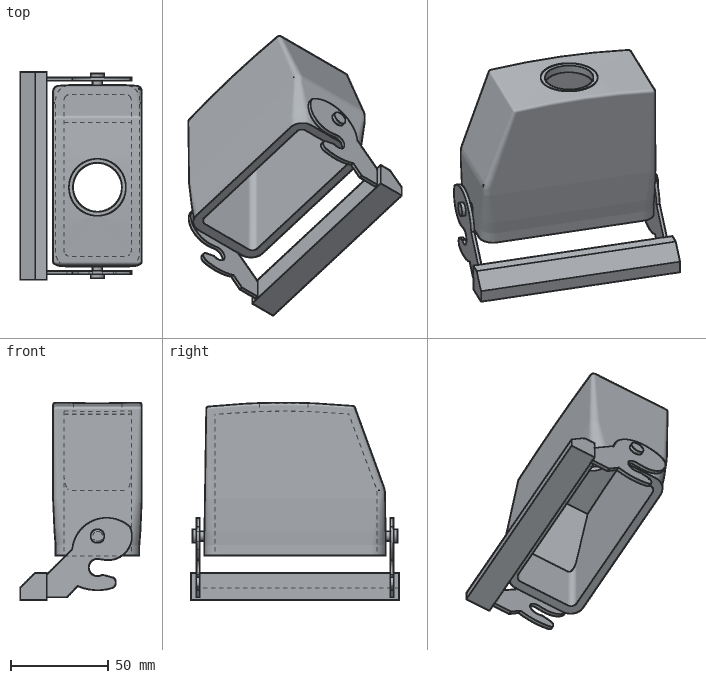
import math

import cadquery as cq


rim_z = 22.9
skirt_top_z = 28.5
knee_z = 35.2
shoulder_z = 52.0
bend_z = 56.6
crown_z = 101.6
blank_top_z = 103.8
skirt_half_x, knee_half_x, shoulder_half_x = 21.6, 22.1, 22.9
skirt_half_y = 46.8
skirt_corner, knee_corner, shoulder_corner, top_corner = 7.5, 6.2, 3.9, 1.6
back_corner = 3.2
end_draft = 0.85
back_slope = 20.0
bend_radius = 10.7
roof_radius = 374.5
roof_edge_fillet = 1.5

wall = 4.3
entry_y = -5.9
entry_radius = 12.5
spot_face_radius = 14.7
spot_face_z = 101.3

pin_z = 33.0
pin_shaft_radius = 2.6
pin_head_radius = 3.5
pin_end_y = 52.8

bar_length = 107.0
bar_left_x, bar_right_x = -39.8, -26.0
bar_height = 14.0
bar_front_height = 6.3
plate_thickness = 1.8
plate_outer_y = 50.7
plate_inner_y = plate_outer_y - plate_thickness
latch_radius = 4.4
latch_z = 16.8
eye_radius = 12.4
eye_x = 5.4
hump_radius = 17.7
hump_x, hump_z = 4.5, 24.7

arm_bottom_z, arm_top_z = 1.4, 13.2
arm_corner = (-15.7, arm_bottom_z)
hump_foot = (-13.0, 26.2)
eye_top = (16.8, 37.7)
eye_bottom = (4.5, 20.5)
finger_root = (-10.2, 7.2)
finger_belly = (0, 5.0)
finger_low = (7.7, 6.2)
finger_tip = (9.5, 8.8)
finger_high = (8.0, 11.7)
latch_low = (2.5, 13.2)

edge_search = 0.3


def end_y(z):
    """Half length of the hood in Y at height z, on the drafted end walls."""
    return skirt_half_y - (z - skirt_top_z) * math.tan(math.radians(end_draft))


def back_y(z):
    """Y of the back wall at height z, including the slope above the bend."""
    return end_y(bend_z) - (z - bend_z) * math.tan(math.radians(back_slope))


def flare_section(z, half_x, half_y, front_radius, back_radius):
    """Horizontal section of the flared lower hood: a rectangle rounded at its -Y and +Y corners."""
    return (
        cq.Sketch()
        .rect(2 * half_x, 2 * half_y)
        .vertices("<Y")
        .fillet(front_radius)
        .reset()
        .vertices(">Y")
        .fillet(back_radius)
        .moved(cq.Location(cq.Vector(0, 0, z)))
    )


def half_section(z, wall_y, corner):
    """Horizontal section of one half of the upper hood, from Y = 0 to its rounded end at wall_y."""
    return (
        cq.Sketch()
        .push([(0, wall_y / 2)])
        .rect(2 * shoulder_half_x, abs(wall_y))
        .reset()
        .vertices(">Y" if wall_y > 0 else "<Y")
        .fillet(corner)
        .moved(cq.Location(cq.Vector(0, 0, z)))
    )


def ruled_loft(*sections):
    """Loft with straight walls from each section to the next."""
    return cq.Workplane().placeSketch(*sections).loft(ruled=True)


def make_blank():
    """Solid hood with its flared side walls, drafted ends and sloping back, below a flat top."""
    lower = ruled_loft(
        flare_section(rim_z, skirt_half_x, skirt_half_y, skirt_corner, skirt_corner),
        flare_section(skirt_top_z, skirt_half_x, skirt_half_y, skirt_corner, skirt_corner),
        flare_section(knee_z, knee_half_x, end_y(knee_z), knee_corner, knee_corner),
        flare_section(shoulder_z, shoulder_half_x, end_y(shoulder_z), shoulder_corner, back_corner),
    )
    upper_front = ruled_loft(
        half_section(shoulder_z, -end_y(shoulder_z), shoulder_corner),
        half_section(blank_top_z, -end_y(blank_top_z), top_corner),
    )
    upper_back = ruled_loft(
        half_section(shoulder_z, end_y(shoulder_z), back_corner),
        half_section(bend_z, end_y(bend_z), back_corner),
        half_section(blank_top_z, back_y(blank_top_z), top_corner),
    )
    return lower.union(upper_front).union(upper_back).clean()


def roof_cylinder(radius):
    """Cylinder along X whose top is the roof arch, or its inner face."""
    return (
        cq.Workplane("YZ")
        .center(entry_y, crown_z - roof_radius)
        .circle(radius)
        .extrude(bar_length / 2, both=True)
    )


def make_outer_form():
    """Blank with the arched roof and its rounded edges."""
    form = make_blank().intersect(roof_cylinder(roof_radius))
    bend_edge = cq.selectors.BoxSelector(
        (-skirt_half_x, 0, bend_z - edge_search),
        (skirt_half_x, bar_length / 2, bend_z + edge_search),
    )
    form = form.edges("|X").edges(bend_edge).fillet(bend_radius)
    return form.faces(">Z").edges().fillet(roof_edge_fillet)


def make_cavity():
    """Hollow of the hood, one wall thickness inside it and open at the rim."""
    half_x = skirt_half_x - wall
    slope_shift = wall / math.cos(math.radians(back_slope))
    inner_front_y = end_y(blank_top_z) - wall
    cavity = (
        cq.Workplane("YZ")
        .moveTo(-inner_front_y, rim_z)
        .lineTo(end_y(bend_z) - wall, rim_z)
        .lineTo(end_y(bend_z) - wall, bend_z)
        .lineTo(back_y(blank_top_z) - slope_shift, blank_top_z)
        .lineTo(-inner_front_y, blank_top_z)
        .close()
        .extrude(half_x, both=True)
        .edges("|Z")
        .fillet(skirt_corner - wall)
    )
    return cavity.intersect(roof_cylinder(roof_radius - wall))


def upright_cylinder(radius, bottom_z):
    """Cylinder on the axis of the cable entry, from bottom_z to above the roof."""
    return (
        cq.Workplane("XY", origin=(0, entry_y, bottom_z))
        .circle(radius)
        .extrude(blank_top_z - bottom_z)
    )


def cylinder_along_y(radius, y_from, y_to):
    """Cylinder on the pivot axis between two Y positions."""
    return (
        cq.Workplane("XZ", origin=(0, y_from, pin_z))
        .circle(radius)
        .extrude(y_from - y_to)
    )


def make_pin(side):
    """Headed pivot pin on one end wall; side is -1 or 1."""
    root_y = end_y(pin_z) - wall / 2
    shaft = cylinder_along_y(pin_shaft_radius, side * root_y, side * pin_end_y)
    head = cylinder_along_y(pin_head_radius, side * plate_outer_y, side * pin_end_y)
    return shaft.union(head)


def make_hood():
    """Hollow hood with its cable entry and the two pivot pins."""
    hood = (
        make_outer_form()
        .cut(make_cavity())
        .cut(upright_cylinder(spot_face_radius, spot_face_z))
        .cut(upright_cylinder(entry_radius, shoulder_z))
    )
    for side in (-1, 1):
        hood = hood.union(make_pin(side))
    return hood


def make_bar():
    """Handle bar with a bevelled outer edge."""
    return (
        cq.Workplane("XZ")
        .moveTo(bar_left_x, 0)
        .lineTo(bar_right_x, 0)
        .lineTo(bar_right_x, bar_height)
        .lineTo(bar_left_x + bar_height - bar_front_height, bar_height)
        .lineTo(bar_left_x, bar_front_height)
        .close()
        .extrude(bar_length / 2, both=True)
    )


def make_plate(side):
    """Side plate with the arm, the round head, the open hook and the pivot hole."""
    start_y = -plate_inner_y if side < 0 else plate_outer_y
    plate = (
        cq.Workplane("XZ", origin=(0, start_y, 0))
        .moveTo(bar_right_x, arm_bottom_z)
        .lineTo(*arm_corner)
        .lineTo(*finger_root)
        .threePointArc(finger_belly, finger_low)
        .threePointArc(finger_tip, finger_high)
        .lineTo(*latch_low)
        .threePointArc((-latch_radius, latch_z), (0, latch_z + latch_radius))
        .lineTo(*eye_bottom)
        .threePointArc((eye_x + eye_radius, pin_z), eye_top)
        .threePointArc((hump_x, hump_z + hump_radius), hump_foot)
        .lineTo(bar_right_x, arm_top_z)
        .close()
        .extrude(plate_thickness)
    )
    return plate.cut(cylinder_along_y(pin_shaft_radius, -bar_length / 2, bar_length / 2))


def make_lever():
    """Handle bar with its two side plates."""
    lever = make_bar()
    for side in (-1, 1):
        lever = lever.union(make_plate(side))
    return lever


hood = make_hood()
lever = make_lever()

result = cq.Compound.makeCompound([hood.val(), lever.val()])